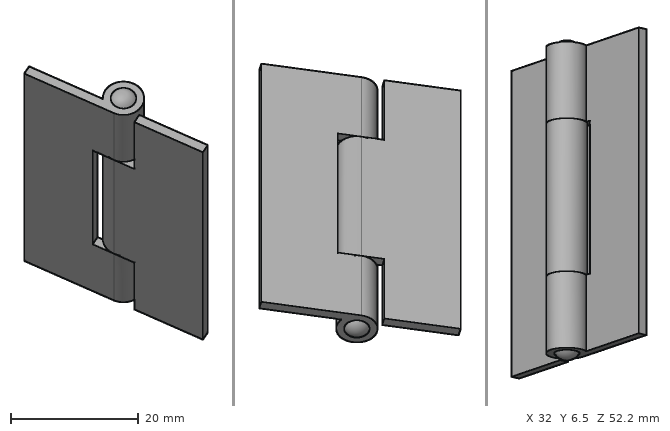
import cadquery as cq

total_width = 32.0
total_height = 52.2
dome_height = 1.1
leaf_height = total_height - 2 * dome_height
leaf_thickness = 1.6

barrel_diameter = 6.5
barrel_radius = barrel_diameter / 2
pin_diameter = 4.0
pin_radius = pin_diameter / 2
middle_knuckle_height = leaf_height / 2
end_knuckle_height = (leaf_height - middle_knuckle_height) / 2

side_clearance = 0.45
notch_edge = barrel_radius + side_clearance


def plate(inner_edge, bottom, height):
    """Flat plate on the -X side, with its front face tangent to the barrel."""
    outer_edge = total_width / 2
    return cq.Workplane("XY").box(
        outer_edge - inner_edge, leaf_thickness, height, centered=False
    ).translate((-outer_edge, -barrel_radius, bottom))


def make_leaf(knuckle_spans):
    """Leaf on the -X side, with a bored knuckle at each (bottom, height) span."""
    leaf = plate(notch_edge, -leaf_height / 2, leaf_height)
    for bottom, height in knuckle_spans:
        barrel = cq.Workplane("XY", origin=(0, 0, bottom)).circle(barrel_radius).extrude(height)
        leaf = leaf.union(plate(0, bottom, height)).union(barrel)
    bore = cq.Workplane("XY").circle(pin_radius).extrude(leaf_height / 2, both=True)
    return leaf.cut(bore).solids()


def make_pin():
    """Straight pin with a shallow spherical dome beyond each end of the leaves."""
    half_shank = leaf_height / 2
    dome_radius = (pin_radius**2 + dome_height**2) / (2 * dome_height)
    tip = half_shank + dome_height
    dome_center = tip - dome_radius
    mid_radius = pin_radius / 2
    mid_height = dome_center + (dome_radius**2 - mid_radius**2) ** 0.5
    return (
        cq.Workplane("XZ")
        .moveTo(0, -tip)
        .threePointArc((mid_radius, -mid_height), (pin_radius, -half_shank))
        .lineTo(pin_radius, half_shank)
        .threePointArc((mid_radius, mid_height), (0, tip))
        .close()
        .revolve(360, (0, 0, 0), (0, 1, 0))
    )


left_leaf = make_leaf([
    (-leaf_height / 2, end_knuckle_height),
    (middle_knuckle_height / 2, end_knuckle_height),
])

right_leaf = make_leaf([(-middle_knuckle_height / 2, middle_knuckle_height)]).mirror("YZ")

pin = make_pin()

result = cq.Compound.makeCompound([left_leaf.val(), right_leaf.val(), pin.val()])